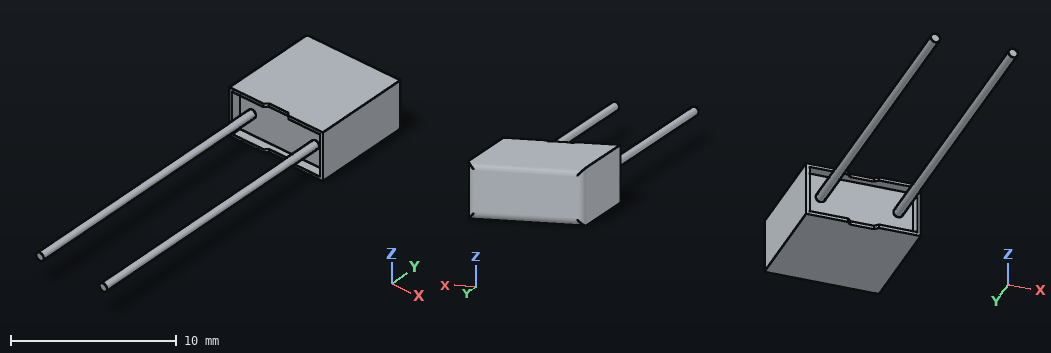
import cadquery as cq

total_length = 26.6
case_width = 7.4
case_height = 3.6
case_length = 7.55
wall = 0.25
end_fillet = 0.5

notch_mouth = 2.0
notch_floor = 1.52
notch_depth = 0.25

potting_recess = 0.72
lead_diameter = 0.6
lead_spacing = 5.0

cavity_depth = case_length - wall
potting_length = cavity_depth - potting_recess
lead_length = total_length - case_length + potting_recess


def box_from(y_start, width, length, height):
    """Box centred on X and Z that extends in +Y from y_start."""
    return cq.Workplane("XY").box(width, length, height, centered=(True, False, True)).translate(
        (0, y_start, 0)
    )


def rim_notch():
    """Tapered notch prism that crosses both broad walls."""
    return (
        cq.Workplane("XY", origin=(0, 0, -case_height / 2))
        .polyline(
            [
                (-notch_mouth / 2, 0),
                (notch_mouth / 2, 0),
                (notch_floor / 2, notch_depth),
                (-notch_floor / 2, notch_depth),
            ]
        )
        .close()
        .extrude(case_height)
    )


def make_case():
    """Open box with a rounded closed end and a notched rim."""
    shell = box_from(0, case_width, case_length, case_height).faces(">Y").edges().fillet(end_fillet)
    cavity = box_from(0, case_width - 2 * wall, cavity_depth, case_height - 2 * wall)
    return shell.cut(cavity).cut(rim_notch())


def make_potting():
    """Resin block that fills the case behind the recess."""
    return box_from(potting_recess, case_width - 2 * wall, potting_length, case_height - 2 * wall)


def make_lead(x):
    """Straight round wire that ends against the potting face."""
    return (
        cq.Workplane("XZ", origin=(x, potting_recess, 0))
        .circle(lead_diameter / 2)
        .extrude(lead_length)
    )


case = make_case()
potting = make_potting()
leads = [make_lead(side * lead_spacing / 2) for side in (-1, 1)]

result = cq.Compound.makeCompound([case.val(), potting.val(), *[lead.val() for lead in leads]])